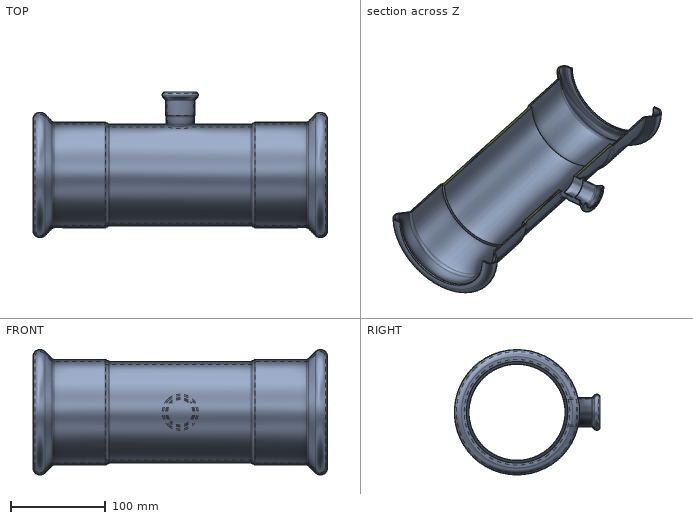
import cadquery as cq
import math

total_length = 312.0
tube_radius = 108.0 / 2
socket_radius = 112.0 / 2
run_wall = 2.2
run_bore_radius = 51.0
run_bead_radius = 7.5
run_outer_radius = 133.0 / 2
run_neck_bend = 3.0
run_socket_end = 76.8
run_shoulder_length = 3.7
run_shoulder_bend = 2.0

branch_tube_radius = 30.0 / 2
branch_socket_radius = 31.0 / 2
branch_wall = 1.5
branch_bore_radius = 13.5
branch_bead_radius = 3.5
branch_outer_radius = 19.2
branch_neck_bend = 1.2
branch_socket_end = 25.0
branch_shoulder_length = 1.2
branch_shoulder_bend = 1.2
branch_reach = 154.5 - run_outer_radius
branch_root_fillet = 1.2

FLARE_ANGLE = math.radians(45)


def polar(center, radius, angle):
    """Point on a circle, with the angle measured from the axial direction."""
    return (
        center[0] + radius * math.cos(angle),
        center[1] + radius * math.sin(angle),
    )


def socket_body(depth, length, outer, bead, socket, tube, neck_bend, socket_end, shoulder=0):
    """Solid bounded by the socket surface moved inward by depth.

    The axis is X and the end face lies at X = depth. Past the socket the body
    narrows to the tube radius, in a flat step if the shoulder has no length.
    """
    bead_center = (bead, outer - bead)
    cone_slope = math.tan(FLARE_ANGLE)
    cone_start = polar(bead_center, bead, math.pi / 2 - FLARE_ANGLE)
    cone_end = cone_start[0] + (cone_start[1] - socket) / cone_slope
    neck_center = (cone_end + neck_bend * math.tan(FLARE_ANGLE / 2), socket + neck_bend)

    bead_arc = bead - depth
    neck_arc = neck_bend + depth
    neck_angle = -math.pi / 2
    return (
        cq.Workplane("XY")
        .moveTo(depth, 0)
        .lineTo(depth, bead_center[1])
        .threePointArc(
            polar(bead_center, bead_arc, math.pi / 2),
            polar(bead_center, bead_arc, math.pi / 2 - FLARE_ANGLE),
        )
        .lineTo(*polar(neck_center, neck_arc, neck_angle - FLARE_ANGLE))
        .threePointArc(
            polar(neck_center, neck_arc, neck_angle - FLARE_ANGLE / 2),
            polar(neck_center, neck_arc, neck_angle),
        )
        .lineTo(socket_end, socket - depth)
        .lineTo(socket_end + shoulder, tube)
        .lineTo(length, tube)
        .lineTo(length, 0)
        .close()
        .revolve(360, (0, 0, 0), (1, 0, 0))
    )


def round_shoulder(body, socket_end, shoulder, bend):
    """Round both circular edges of a conical shoulder on the X axis."""
    margin = shoulder / 4
    shoulder_zone = cq.selectors.BoxSelector(
        (socket_end - margin, -margin, -margin),
        (socket_end + shoulder + margin, margin, margin),
    )
    return body.edges("%CIRCLE").edges(shoulder_zone).fillet(bend)


def run_half(depth, tube, shoulder=0):
    return socket_body(
        depth, total_length / 2, run_outer_radius, run_bead_radius, socket_radius,
        tube, run_neck_bend, run_socket_end, shoulder,
    )


def place_run(half):
    """Join a half run to its mirror image about the middle plane."""
    half = half.translate((-total_length / 2, 0, 0))
    return half.union(half.mirror("YZ"))


def branch_body(depth, tube, shoulder=0):
    return socket_body(
        depth, branch_reach, branch_outer_radius, branch_bead_radius, branch_socket_radius,
        tube, branch_neck_bend, branch_socket_end, shoulder,
    )


def place_branch(body):
    """Turn a branch from the X axis to Y, with its end face at full reach."""
    return body.rotate((0, 0, 0), (0, 0, 1), -90).translate((0, branch_reach, 0))


run_skin = place_run(
    round_shoulder(
        run_half(0, tube_radius, run_shoulder_length),
        run_socket_end, run_shoulder_length, run_shoulder_bend,
    )
)
branch_skin = place_branch(
    round_shoulder(
        branch_body(0, branch_tube_radius, branch_shoulder_length),
        branch_socket_end, branch_shoulder_length, branch_shoulder_bend,
    )
)

root_zone_depth = 6.2
root_zone_margin = 0.3
root_zone = cq.selectors.BoxSelector(
    (-branch_outer_radius, tube_radius - root_zone_depth, -branch_outer_radius),
    (branch_outer_radius, tube_radius + root_zone_margin, branch_outer_radius),
)
outer_skin = run_skin.union(branch_skin).edges(root_zone).fillet(branch_root_fillet)

run_cavity = place_run(run_half(run_wall, run_bore_radius))
branch_cavity = place_branch(branch_body(branch_wall, branch_bore_radius))

run_opening = (
    cq.Workplane("YZ", origin=(-total_length / 2, 0, 0))
    .circle(socket_radius - run_wall)
    .extrude(run_socket_end)
)
branch_opening = (
    cq.Workplane("XZ", origin=(0, branch_reach, 0))
    .circle(branch_socket_radius - branch_wall)
    .extrude(branch_socket_end)
)

result = (
    outer_skin
    .cut(run_cavity)
    .cut(branch_cavity)
    .cut(run_opening)
    .cut(run_opening.mirror("YZ"))
    .cut(branch_opening)
)